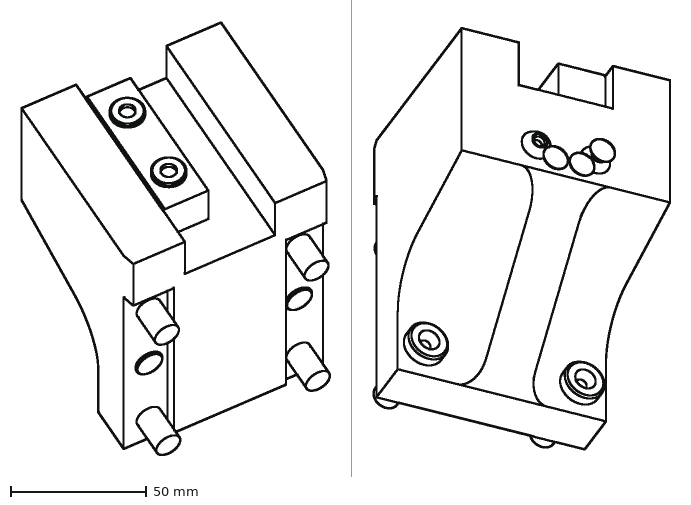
import cadquery as cq
import math


width = 84.0
body_depth = 79.0
overall_depth = 84.0
top_z = 116.0
left_face_bottom_z = 60.8
foot_face_x = 59.2

rear_step_z = 91.0
rear_chamfer_width = 1.3
key_width = 47.2
key_bottom_z = 4.1

rib_width = 20.0
rib_fillet = 8.1
underside_slope = math.radians(15)
underside_radius = 25.0
overshoot = 11.8

slot_width = 38.0
slot_bottom_z = 96.8
bar_start_x = 7.1
bar_length = 60.2
bar_width = slot_width / 2
bar_top_z = 116.4
bar_chamfer = 0.7
bar_gap = 2.5
bar_foot_width = 3.8

clamp_screw_xs = (21.2, 53.1)
clamp_screw_y = -9.0
clamp_head_radius = 6.6
clamp_head_chamfer = 0.6
clamp_head_top_z = 118
clamp_shaft_radius = 4.2
clamp_socket_radius = 3.1
clamp_socket_depth = 1.8

bolt_y = 31.5
lower_bolt_z = 13
upper_bolt_z = 78.0
bolt_radius = 5.1
lower_bolt_end_x = 94.2
upper_bolt_end_x = 93.1
bolt_head_radius = 8.0
bolt_head_height = 5.1
bolt_head_chamfer = 0.8
bolt_socket_radius = 4.1
bolt_socket_floor_radius = 2.2
bolt_socket_depth = 4.0

plug_z = 45.5
plug_radius = 5.5
plug_height = 1.0
plug_chamfer = 0.4

nozzle_y = 11.9
nozzle_z = 71.5
nozzle_base_radius = 5.9
nozzle_face_radius = 3.1
nozzle_height = 3.3
nozzle_mouth_radius = 2.8
nozzle_mouth_depth = 0.6
nozzle_bore_radius = 2.1
nozzle_bore_depth = 3.0
cone_radius = 5.0
cone_neck_radius = 2.5
cone_rim = 0.4
low_cone_y = 5.3
low_cone_z = 66.0
low_cone_face_x = -3.0
high_cone_face_x = -6.8

joint = 1.2


def box(x0, x1, y0, y1, z0, z1):
    return cq.Workplane("XY").box(x1 - x0, y1 - y0, z1 - z0, centered=False).translate((x0, y0, z0))


def rod_along_x(x0, x1, y, z, radius):
    return cq.Workplane("YZ", origin=(x0, y, z)).circle(radius).extrude(x1 - x0)


def rod_along_z(z0, z1, x, y, radius):
    return cq.Workplane("XY", origin=(x, y, z0)).circle(radius).extrude(z1 - z0)


def spin_about_x(outline, y, z):
    """Turn an (x, radius) outline about the line through (y, z) along X."""
    return outline.close().revolve(360, (0, 0, 0), (1, 0, 0)).translate((0, y, z))


def make_block():
    outline = [
        (0, top_z),
        (0, left_face_bottom_z),
        (foot_face_x, 0),
        (body_depth, 0),
        (body_depth, rear_step_z),
        (overall_depth, rear_step_z),
        (overall_depth, top_z),
    ]
    block = cq.Workplane("XZ").polyline(outline).close().extrude(width / 2, both=True)
    plan = [
        (0, width / 2),
        (body_depth, width / 2),
        (overall_depth, width / 2 - rear_chamfer_width),
        (overall_depth, -width / 2 + rear_chamfer_width),
        (body_depth, -width / 2),
        (0, -width / 2),
    ]
    block = block.intersect(cq.Workplane("XY").polyline(plan).close().extrude(top_z))
    key = box(body_depth - joint, overall_depth, -key_width / 2, key_width / 2, key_bottom_z, rear_step_z)
    slot = box(
        -overshoot, overall_depth + overshoot,
        -slot_width / 2, slot_width / 2,
        slot_bottom_z, top_z + overshoot,
    )
    return block.union(key).cut(slot)


def make_side_hollow():
    """Space under the +Y overhang: sloped roof, arc, then the upright foot face."""
    slope = math.tan(underside_slope)
    arc_center_x = foot_face_x - underside_radius
    tangent_x = arc_center_x + underside_radius * math.sin(underside_slope)
    tangent_z = left_face_bottom_z - tangent_x * slope
    arc_end_z = tangent_z - underside_radius * math.cos(underside_slope)
    mid_angle = (math.pi / 2 - underside_slope) / 2
    mid_point = (
        arc_center_x + underside_radius * math.cos(mid_angle),
        arc_end_z + underside_radius * math.sin(mid_angle),
    )
    hollow = (
        cq.Workplane("XZ", origin=(0, rib_width / 2, 0))
        .moveTo(-overshoot, left_face_bottom_z + overshoot * slope)
        .lineTo(tangent_x, tangent_z)
        .threePointArc(mid_point, (foot_face_x, arc_end_z))
        .lineTo(foot_face_x, -overshoot)
        .lineTo(-overshoot, -overshoot)
        .close()
        .extrude(-width / 2)
    )
    return hollow.faces("<Y").edges("%CIRCLE").fillet(rib_fillet)


def make_clamp_bar():
    end_x = bar_start_x + bar_length
    bar = box(bar_start_x, end_x, -bar_width, 0, slot_bottom_z, bar_top_z)
    bar = bar.edges("|X and >Z and <Y").chamfer(bar_chamfer)
    gap = box(bar_start_x, end_x, -bar_width + bar_foot_width, 0, slot_bottom_z, slot_bottom_z + bar_gap)
    bar = bar.cut(gap)
    for x in clamp_screw_xs:
        shaft = rod_along_z(slot_bottom_z - joint, bar_top_z, x, clamp_screw_y, clamp_shaft_radius)
        head = rod_along_z(bar_top_z - joint, clamp_head_top_z, x, clamp_screw_y, clamp_head_radius)
        head = head.faces(">Z").chamfer(clamp_head_chamfer)
        socket = rod_along_z(
            clamp_head_top_z - clamp_socket_depth, clamp_head_top_z, x, clamp_screw_y, clamp_socket_radius
        )
        bar = bar.union(shaft).union(head).cut(socket)
    return bar


def make_bolt_head(y):
    face_x = foot_face_x - bolt_head_height
    head = rod_along_x(face_x, foot_face_x + joint, y, lower_bolt_z, bolt_head_radius)
    head = head.faces("<X").chamfer(bolt_head_chamfer)
    socket = (
        cq.Workplane("XY")
        .moveTo(face_x, 0)
        .lineTo(face_x, bolt_socket_radius)
        .lineTo(face_x + bolt_socket_depth, bolt_socket_floor_radius)
        .lineTo(face_x + bolt_socket_depth, 0)
    )
    return head.cut(spin_about_x(socket, y, lower_bolt_z))


def make_plug(y):
    plug = rod_along_x(body_depth - joint, body_depth + plug_height, y, plug_z, plug_radius)
    return plug.faces(">X").chamfer(plug_chamfer)


def make_nozzle(y):
    """Spherical dome with a countersunk bore."""
    sphere_center_x = (
        nozzle_base_radius**2 - nozzle_face_radius**2 - nozzle_height**2
    ) / (2 * nozzle_height)
    sphere_radius = math.hypot(sphere_center_x, nozzle_base_radius)
    mid_x = -nozzle_height / 2
    mid_radius = math.sqrt(sphere_radius**2 - (mid_x - sphere_center_x) ** 2)
    mouth_floor_x = nozzle_mouth_depth - nozzle_height
    bore_floor_x = nozzle_bore_depth - nozzle_height
    outline = (
        cq.Workplane("XY")
        .moveTo(joint, 0)
        .lineTo(joint, nozzle_base_radius)
        .lineTo(0, nozzle_base_radius)
        .threePointArc((mid_x, mid_radius), (-nozzle_height, nozzle_face_radius))
        .lineTo(-nozzle_height, nozzle_mouth_radius)
        .lineTo(mouth_floor_x, nozzle_bore_radius)
        .lineTo(bore_floor_x, nozzle_bore_radius)
        .lineTo(bore_floor_x, 0)
    )
    return spin_about_x(outline, y, nozzle_z)


def make_cone_screw(face_x, y, z):
    """Countersunk head facing -X: thin rim, 45 degree cone and a neck into the block."""
    rim_x = face_x + cone_rim
    neck_x = rim_x + cone_radius - cone_neck_radius
    outline = (
        cq.Workplane("XY")
        .moveTo(face_x, 0)
        .lineTo(face_x, cone_radius)
        .lineTo(rim_x, cone_radius)
        .lineTo(neck_x, cone_neck_radius)
        .lineTo(joint, cone_neck_radius)
        .lineTo(joint, 0)
    )
    return spin_about_x(outline, y, z)


hollow = make_side_hollow()
result = make_block().cut(hollow).cut(hollow.mirror("XZ"))
result = result.union(make_clamp_bar())

for side in (-1, 1):
    y = side * bolt_y
    result = result.union(make_bolt_head(y))
    result = result.union(rod_along_x(body_depth - joint, lower_bolt_end_x, y, lower_bolt_z, bolt_radius))
    result = result.union(rod_along_x(body_depth - joint, upper_bolt_end_x, y, upper_bolt_z, bolt_radius))
    result = result.union(make_plug(y))
    result = result.union(make_nozzle(side * nozzle_y))
    result = result.union(make_cone_screw(low_cone_face_x, side * low_cone_y, low_cone_z))

result = result.union(make_cone_screw(high_cone_face_x, -nozzle_y, nozzle_z))